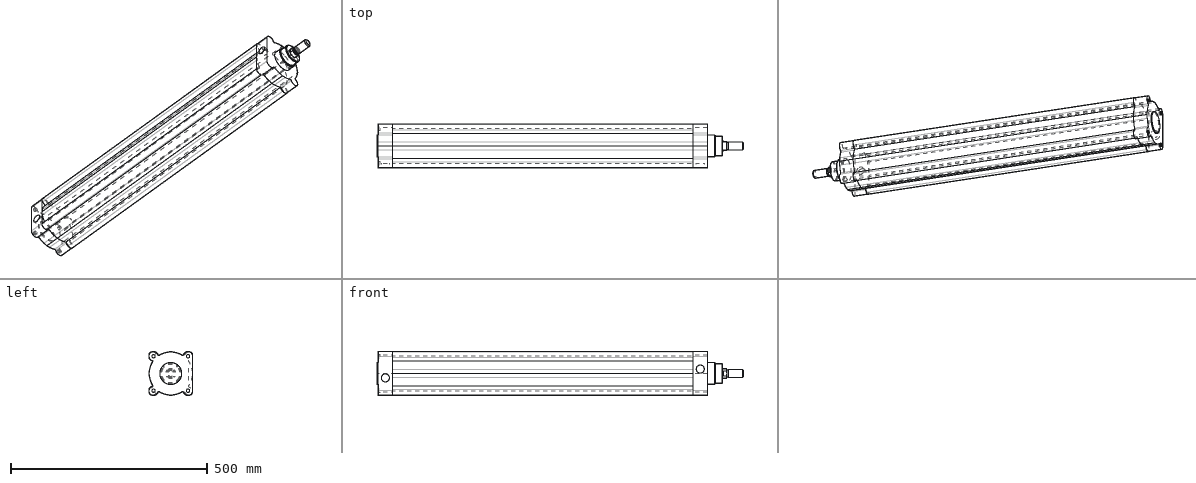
import cadquery as cq
import math

width = 112.0
half_width = width / 2
body_diameter = 110.0
body_radius = body_diameter / 2

ridge_tangent_reach = body_radius**2 / half_width
ridge_half_width = math.sqrt(body_radius**2 - ridge_tangent_reach**2)

rear_boss_length = 3.0
cap_length = 37.0
front_cap_end = 842.0
boss_end = 861.0
nose_end = 880.0
collar_end = 891.0
neck_end = 895.0
rod_end = 933.0

rear_cap_start = rear_boss_length
barrel_start = rear_cap_start + cap_length
barrel_end = front_cap_end - cap_length

barrel_lobe_radius = 8.9
barrel_lobe_offset = 47.0

cap_lobe_radius = 12.0
cap_lobe_offset = half_width - cap_lobe_radius
cap_fillet_radius = 3.0

lobe_center_distance = cap_lobe_offset * math.sqrt(2)
junction_along = (body_radius**2 + lobe_center_distance**2 - cap_lobe_radius**2) / (2 * lobe_center_distance)
junction_across = math.sqrt(body_radius**2 - junction_along**2)
junction_near = (junction_along - junction_across) / math.sqrt(2)
junction_far = (junction_along + junction_across) / math.sqrt(2)
boss_diameter = 56.0
boss_chamfer = 2.0
nose_diameter = 50.0
nose_chamfer = 2.0
socket_diameter = 8.0
socket_depth = 5.0
port_diameter = 20.5
port_depth = 11.0
port_height = 11.0

collar_diameter = 25.0
collar_chamfer = 2.0
flats_width = 22.0
neck_diameter = 19.0
flats_setback = 2.0
flats_start = nose_end + flats_setback
stud_diameter = 20.5
stud_chamfer = 3.0

corner_signs = [(y, z) for y in (-1, 1) for z in (-1, 1)]


def rod_along_x(start, end, diameter, y=0.0, z=0.0):
    """Round bar parallel to X between two stations."""
    return cq.Workplane("YZ", origin=(start, y, z)).circle(diameter / 2).extrude(end - start)


def make_ridged_body(start, length, side_angles):
    """Round body with a tangent ridge on each listed side."""
    body = rod_along_x(start, start + length, body_diameter)
    for angle in side_angles:
        ridge = (
            cq.Workplane("YZ", origin=(start, 0, 0))
            .transformed(rotate=(0, 0, angle))
            .polyline(
                [
                    (0, 0),
                    (ridge_tangent_reach, -ridge_half_width),
                    (half_width, 0),
                    (ridge_tangent_reach, ridge_half_width),
                ]
            )
            .close()
            .extrude(length)
        )
        body = body.union(ridge)
    return body


def make_barrel():
    """Ridged round bar with a lobe on a 45 degree neck at each corner."""
    length = barrel_end - barrel_start
    barrel = make_ridged_body(barrel_start, length, (0, 90, 180, 270))
    neck_length = barrel_lobe_offset * math.sqrt(2)
    for angle in (45, 135, 225, 315):
        neck = (
            cq.Workplane("YZ", origin=(barrel_start, 0, 0))
            .transformed(rotate=(0, 0, angle))
            .center(neck_length / 2, 0)
            .rect(neck_length, 2 * barrel_lobe_radius)
            .extrude(length)
        )
        barrel = barrel.union(neck)
    for y_sign, z_sign in corner_signs:
        lobe = rod_along_x(
            barrel_start,
            barrel_end,
            2 * barrel_lobe_radius,
            y_sign * barrel_lobe_offset,
            z_sign * barrel_lobe_offset,
        )
        barrel = barrel.union(lobe)
    return barrel


def make_cap_block(start, port_z):
    """Round cap with four corner lobes and a flat port face on the -Y side."""
    end = start + cap_length
    cap = make_ridged_body(start, cap_length, (0, 90, 270))
    port_pad = cq.Workplane("XY").box(
        cap_length, half_width, 2 * cap_lobe_offset, centered=(False, False, True)
    )
    cap = cap.union(port_pad.translate((start, -half_width, 0)))
    for y_sign, z_sign in corner_signs:
        lobe = rod_along_x(
            start, end, 2 * cap_lobe_radius, y_sign * cap_lobe_offset, z_sign * cap_lobe_offset
        )
        cap = cap.union(lobe)

    valleys = []
    for sign in (-1, 1):
        valleys.append((-junction_near, sign * junction_far))
        valleys.append((junction_near, sign * junction_far))
        valleys.append((junction_far, sign * junction_near))
    for y, z in valleys:
        valley_edge = cq.NearestToPointSelector((start + cap_length / 2, y, z))
        cap = cap.edges("|X").edges(valley_edge).fillet(cap_fillet_radius)

    port = (
        cq.Workplane("XZ", origin=(start + cap_length / 2, -half_width, port_z))
        .circle(port_diameter / 2)
        .extrude(-port_depth)
    )
    return cap.cut(port)


def make_rear_cap():
    """Rear cap with a low boss and a screw socket in each lobe."""
    cap = make_cap_block(rear_cap_start, -port_height)
    cap = cap.union(rod_along_x(0, rear_cap_start, boss_diameter))
    for y_sign, z_sign in corner_signs:
        socket = rod_along_x(
            rear_cap_start,
            rear_cap_start + socket_depth,
            socket_diameter,
            y_sign * cap_lobe_offset,
            z_sign * cap_lobe_offset,
        )
        cap = cap.cut(socket)
    return cap


def make_front_cap():
    """Front cap with a boss and a narrower chamfered nose."""
    cap = make_cap_block(barrel_end, port_height)
    boss = rod_along_x(front_cap_end, boss_end, boss_diameter)
    boss = boss.faces(">X").chamfer(boss_chamfer)
    nose = rod_along_x(boss_end, nose_end, nose_diameter)
    nose = nose.faces(">X").chamfer(nose_chamfer)
    return cap.union(boss).union(nose)


def make_rod():
    """Rod end: a collar with two wrench flats, a short neck and a chamfered stud."""
    collar = rod_along_x(nose_end, collar_end, collar_diameter)
    collar = collar.faces(">X").chamfer(collar_chamfer)
    flats_length = collar_end - flats_start
    for side in (-1, 1):
        flat_cut = cq.Workplane("XY").box(
            flats_length, collar_diameter, collar_diameter, centered=(False, True, True)
        )
        flat_offset = side * (flats_width + collar_diameter) / 2
        collar = collar.cut(flat_cut.translate((flats_start, flat_offset, 0)))
    neck = rod_along_x(collar_end, neck_end, neck_diameter)
    stud = rod_along_x(neck_end, rod_end, stud_diameter)
    stud = stud.faces(">X").chamfer(stud_chamfer)
    return collar.union(neck).union(stud)


barrel = make_barrel()
rear_cap = make_rear_cap()
front_cap = make_front_cap()
rod = make_rod()

result = cq.Compound.makeCompound([barrel.val(), rear_cap.val(), front_cap.val(), rod.val()])